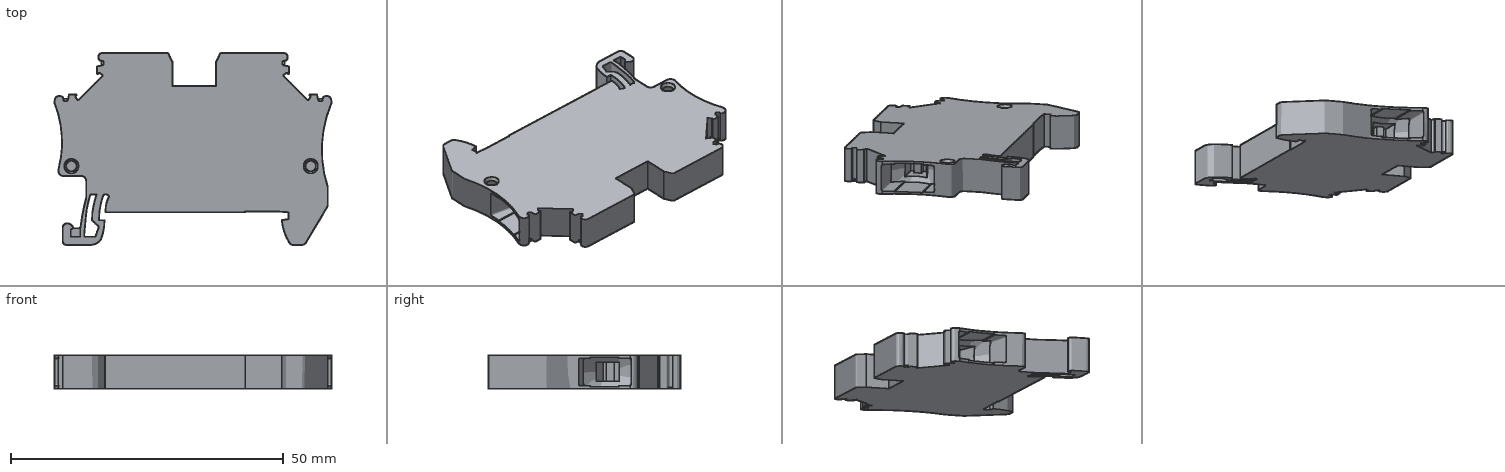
import cadquery as cq
import math

thickness = 6.2
height = 35.25
half_length = 25.4
tip_y = 26.0
web_thickness = 0.3

shoulder_half_width = 17.4
gap_left = -3.75
gap_right = 4.2
gap_floor = 29.2
gap_chamfer_height = 1.7
gap_chamfer_width = 0.8

clip_mirror_sum = 10.0
groove_lip = (-17.0, 33.8)
groove_bottom = -16.35
clip_face = -17.65

rail_edge = 6.0
rail_relief = 0.15
foot_lip = 4.55

dimple_y = 14.5
dimple_left = -22.3
dimple_right = 21.6
dimple_radius = 0.95
dimple_rim_radius = 1.3
dimple_rim_depth = 0.6
dimple_depth = 1.5

funnel_top = 26.15
funnel_bottom = 16.25
funnel_inner_bottom = 17.45
funnel_height = 5.1
funnel_corner = 0.4
funnel_end = 18.3
bulge_top = 23.9
bulge_bottom = 18.7
bulge_height = 5.4
cone_length = 2.55
chamber_top = 24.0
chamber_bottom = 19.8
chamber_height = 3.5
chamber_depth = 4.05
chamber_end_bottom = 21.1
contact_top = 23.05
contact_bottom = 21.65
contact_length = 1.5

mid_z = thickness / 2


def corner(x, y, radius=0.0):
    """Straight edge to (x, y), with the corner there rounded."""
    return {"point": cq.Vector(x, y), "radius": radius, "via": None}


def arc_to(x, y, via):
    """Circular edge through `via` to a sharp corner at (x, y)."""
    return {"point": cq.Vector(x, y), "radius": 0.0, "via": via}


def outline(items):
    """Closed wire through the items; the first one is a sharp corner."""
    path = cq.Workplane("XY").moveTo(*items[0]["point"].toTuple()[:2])
    for index, item in enumerate(items[1:] + items[:1], start=1):
        point = item["point"]
        if item["via"]:
            path = path.threePointArc(item["via"], point.toTuple()[:2])
        elif item["radius"]:
            to_previous = (items[index - 1]["point"] - point).normalized()
            to_next = (items[(index + 1) % len(items)]["point"] - point).normalized()
            half_angle = to_previous.getAngle(to_next) / 2
            setback = item["radius"] / math.tan(half_angle)
            bisector = (to_previous + to_next).normalized()
            sagitta = item["radius"] / math.sin(half_angle) - item["radius"]
            start = point + to_previous * setback
            middle = point + bisector * sagitta
            end = point + to_next * setback
            path = path.lineTo(start.x, start.y)
            path = path.threePointArc((middle.x, middle.y), (end.x, end.y))
        elif index < len(items):
            path = path.lineTo(point.x, point.y)
    return path.close()


def prism(items, bottom=0.0, top=thickness):
    """Solid between two Z levels over a closed outline."""
    return outline(items).extrude(top - bottom).translate((0, 0, bottom))


def mirrored(items, flip):
    """Open run of edges with each (x, y) moved by `flip`, taken in reverse order."""
    run = []
    via = None
    for item in reversed(items):
        x, y = flip(item["point"].x, item["point"].y)
        run.append({"point": cq.Vector(x, y), "radius": item["radius"], "via": via})
        via = flip(*item["via"]) if item["via"] else None
    return run


def across_axis(x, y):
    """Point on the other side of X = 0."""
    return (-x, y)


def across_clips(x, y):
    """Point on the other side of the mirror line of a clip pair."""
    return (clip_mirror_sum - y, clip_mirror_sum - x)


clip_profile = [
    arc_to(-16.8, 32.95, via=(groove_bottom, 33.45)),
    corner(clip_face, 32.8, 0.1),
    corner(clip_face, 31.4),
    corner(-17.45, 31.35),
    corner(-17.25, 31.6),
    corner(-16.5, 31.1),
]
shoulder_profile = [
    corner(-16.55, height),
    arc_to(*groove_lip, via=(-shoulder_half_width, 34.45)),
]
left_upper = shoulder_profile + clip_profile
left_upper += mirrored([corner(*groove_lip)] + clip_profile, across_clips)
left_upper += [arc_to(-half_length, 26.45, via=(-25.15, 27.1))]

left_side = [
    corner(-half_length, tip_y),
    arc_to(-24.7, 13.8, via=(-24.1, 20.05)),
    corner(-24.85, 12.65, 0.95),
    corner(-19.6, 12.65, 0.9),
]

spring_foot = [
    corner(-19.6, 8.65),
    arc_to(-20.65, 3.45, via=(-20.25, 6.05)),
    corner(-20.7, 3.1, 0.25),
    corner(-21.95, 3.1),
    arc_to(-23.1, 4.0, via=(-22.45, 3.8)),
    arc_to(-23.95, 3.2, via=(-23.7, 3.75)),
    corner(-23.95, 0, 0.75),
    corner(-18.7, 0),
    arc_to(-16.8, 1.15, via=(-17.6, 0.35)),
    arc_to(-16.2, foot_lip, via=(-16.35, 2.85)),
    corner(-17.25, foot_lip),
    arc_to(-16.45, 9.1, via=(-17.0, 6.9)),
    arc_to(-15.45, 8.85, via=(-15.95, 9.3)),
    arc_to(-16.05, 6.5, via=(-15.9, 7.65)),
    corner(-16.15, rail_edge, 0.25),
]

rail_and_foot = [
    corner(9.55, rail_edge),
    corner(9.55, rail_edge + rail_relief),
    corner(15.35, rail_edge + rail_relief),
    corner(17.5, rail_edge),
    corner(17.5, 4.8),
    corner(16.25, foot_lip),
    arc_to(17.7, 0.4, via=(16.75, 2.3)),
    arc_to(18.4, 0, via=(18.0, 0.1)),
    corner(20.5, 0, 1.0),
    corner(24.75, 7.15, 0.6),
    corner(24.75, 10.6),
]
right_side = [arc_to(half_length, tip_y, via=(23.7, 18.45))]

gap_edge = [
    corner(gap_right + gap_chamfer_width, height, 0.4),
    corner(gap_right, height - gap_chamfer_height),
    corner(gap_right, gap_floor),
    corner(gap_left, gap_floor),
    corner(gap_left, height - gap_chamfer_height),
    corner(gap_left - gap_chamfer_width, height, 0.4),
]

body_outline = left_side + spring_foot + rail_and_foot + right_side
body_outline += mirrored(left_upper, across_axis) + gap_edge + left_upper
body = prism(body_outline)

spring_window = [
    corner(-17.75, 9.25),
    arc_to(-18.5, 5.85, via=(-18.2, 7.55)),
    corner(-18.55, 4.55),
    corner(-17.3, 3.35, 0.2),
    corner(-17.95, 1.5, 0.2),
    corner(-19.95, 1.5, 0.2),
    corner(-19.6, 5.35),
    arc_to(-18.9, 8.95, via=(-19.35, 7.15)),
    corner(-18.8, 9.25, 0.1),
]
body = body.cut(prism(spring_window))

hook_pocket = [
    corner(-20.7, 3.15),
    corner(-20.7, 1.5),
    corner(-22.4, 1.5),
    corner(-22.4, 2.8),
    corner(-22.0, 3.15),
]
body = body.cut(prism(hook_pocket, bottom=web_thickness))

groove_web = [
    corner(-16.85, 33.9),
    corner(groove_bottom, 33.9),
    corner(groove_bottom, 33.0),
    corner(-16.85, 33.0),
]
left_webs = [groove_web, mirrored(groove_web, across_clips)]
for web in left_webs + [mirrored(web, across_axis) for web in left_webs]:
    body = body.union(prism(web, top=web_thickness))


def dimple(x):
    """Blind round dimple in the top face, with a countersunk rim."""
    rim = (
        cq.Workplane("XY", origin=(x, dimple_y, thickness))
        .circle(dimple_rim_radius)
        .workplane(offset=-dimple_rim_depth)
        .circle(dimple_radius)
        .loft()
    )
    hole = (
        cq.Workplane("XY", origin=(x, dimple_y, thickness))
        .circle(dimple_radius)
        .extrude(-dimple_depth)
    )
    return rim.union(hole)


for dimple_x in (dimple_left, dimple_right):
    body = body.cut(dimple(dimple_x))


def block(x_start, x_end, y_low, y_high, size_z):
    """Box between X and Y limits, centred on the middle of the thickness."""
    return (
        cq.Workplane("XY")
        .box(x_end - x_start, y_high - y_low, size_z)
        .translate(((x_start + x_end) / 2, (y_low + y_high) / 2, mid_z))
    )


def wire_funnel():
    """Cutter for the left funnel: mouth, cone and inner chamber along +X."""
    mouth = prism(
        [
            corner(-half_length, funnel_bottom),
            corner(-funnel_end, funnel_inner_bottom),
            corner(-funnel_end, funnel_top),
            corner(-half_length, funnel_top),
        ],
        bottom=mid_z - funnel_height / 2,
        top=mid_z + funnel_height / 2,
    )
    mouth = mouth.edges("(not |Z) and (not |Y)").fillet(funnel_corner)
    bulge = block(-half_length, -funnel_end, bulge_bottom, bulge_top, bulge_height)

    mouth_half_width = (funnel_top - funnel_inner_bottom) / 2
    cone = (
        cq.Workplane("YZ", origin=(-funnel_end, funnel_inner_bottom + mouth_half_width, mid_z))
        .circle(math.hypot(mouth_half_width, bulge_height / 2))
        .workplane(offset=cone_length)
        .circle(chamber_height / 2)
        .loft()
    )
    cone_envelope = block(-funnel_end, 0, funnel_inner_bottom, funnel_top, funnel_height)
    cone_envelope = cone_envelope.union(
        block(-funnel_end, 0, bulge_bottom, bulge_top, bulge_height)
    )
    cone = cone.intersect(cone_envelope)

    chamber_end = -funnel_end + cone_length + chamber_depth
    chamber = prism(
        [
            corner(-funnel_end, chamber_bottom),
            corner(-funnel_end + cone_length, chamber_bottom),
            corner(chamber_end, chamber_end_bottom),
            corner(chamber_end, chamber_top),
            corner(-funnel_end, chamber_top),
        ],
        bottom=mid_z - chamber_height / 2,
        top=mid_z + chamber_height / 2,
    )
    contact = block(
        chamber_end - contact_length, chamber_end, contact_bottom, contact_top, chamber_height
    )
    return mouth.union(bulge).union(cone).union(chamber).cut(contact)


funnel = wire_funnel()
result = body.cut(funnel).cut(funnel.mirror("YZ"))